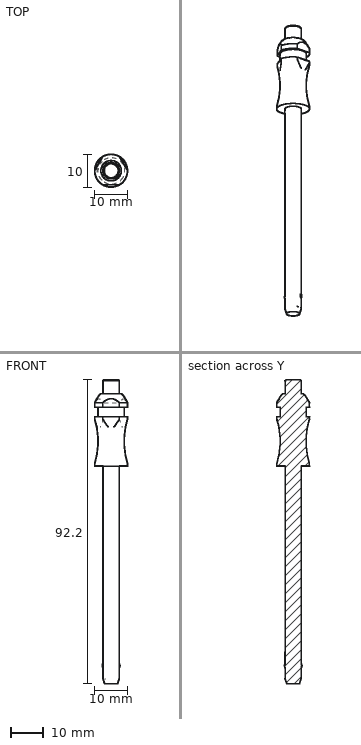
import cadquery as cq
import math

shank_length = 66.0
pin_diameter = 5.0
grip_length = 15.0
outer_diameter = 10.0
waist_diameter = 8.0
rim_height = 0.8
neck_height = 2.75
collar_band_height = 1.5
dome_height = 2.7
dome_top_diameter = 6.2
dome_shoulder_diameter = 7.8
dome_round_height = 0.8
button_height = 4.25
button_chamfer = 0.35
tip_height = 1.6
tip_diameter = 4.0
ball_diameter = 1.8
ball_protrusion = 0.2
ball_to_tip = 5.5
flat_count = 3
flat_half_angle = 30

outer_radius = outer_diameter / 2
waist_radius = waist_diameter / 2
waist_height = grip_length / 2
pin_radius = pin_diameter / 2
ball_radius = ball_diameter / 2
flat_distance = outer_radius * math.cos(math.radians(flat_half_angle))
collar_bottom = grip_length + neck_height
dome_bottom = collar_bottom + collar_band_height
dome_top = dome_bottom + dome_height


def make_grip():
    """Waisted grip, neck and domed collar, revolved as one profile."""
    profile = (
        cq.Workplane("XZ")
        .moveTo(0, 0)
        .lineTo(outer_radius, 0)
        .lineTo(outer_radius, rim_height)
        .threePointArc((waist_radius, waist_height), (outer_radius, grip_length - rim_height))
        .lineTo(outer_radius, grip_length)
        .lineTo(waist_radius, grip_length)
        .lineTo(waist_radius, collar_bottom)
        .lineTo(outer_radius, collar_bottom)
        .lineTo(outer_radius, dome_bottom)
        .lineTo(dome_shoulder_diameter / 2, dome_top - dome_round_height)
        .tangentArcPoint((dome_top_diameter / 2, dome_top), relative=False)
        .lineTo(0, dome_top)
        .close()
    )
    return profile.revolve(axisStart=(0, 0, 0), axisEnd=(0, 1, 0))


def cut_flats(body):
    """Cut flats on the grip and collar, the first one facing -Y."""
    cutter = (
        cq.Workplane("XY")
        .box(outer_diameter, outer_radius, dome_top - waist_height, centered=(True, False, False))
        .translate((0, -flat_distance - outer_radius, waist_height))
    )
    for index in range(flat_count):
        body = body.cut(cutter.rotate((0, 0, 0), (0, 0, 1), index * 360 / flat_count))
    return body


def make_button():
    """Push button on top of the collar."""
    button = cq.Workplane("XY").workplane(offset=dome_top).circle(pin_radius).extrude(button_height)
    return button.faces(">Z").chamfer(button_chamfer)


def make_shank():
    """Straight shank with a tapered tip."""
    profile = (
        cq.Workplane("XZ")
        .moveTo(0, 0)
        .lineTo(pin_radius, 0)
        .lineTo(pin_radius, tip_height - shank_length)
        .lineTo(tip_diameter / 2, -shank_length)
        .lineTo(0, -shank_length)
        .close()
    )
    return profile.revolve(axisStart=(0, 0, 0), axisEnd=(0, 1, 0))


def make_ball(side):
    """Locking ball standing slightly proud of the shank."""
    offset = pin_radius + ball_protrusion - ball_radius
    return cq.Workplane("XY").sphere(ball_radius).translate((side * offset, 0, ball_to_tip - shank_length))


result = cut_flats(make_grip()).union(make_button()).union(make_shank())
for side in (-1, 1):
    result = result.union(make_ball(side))